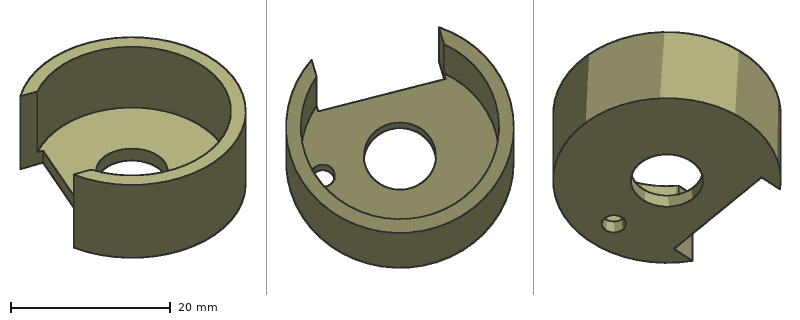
import cadquery as cq

outer_diameter = 28.5
inner_diameter = 24.8
height = 12.0
floor_thickness = 2.0

center_hole_diameter = 9.0
side_hole_diameter = 3.0
side_hole_offset = 10.0

opening_width = 16.5
opening_distance = 8.5


def make_cup():
    """Round cup with an open top, standing on Z = 0."""
    body = cq.Workplane("XY").circle(outer_diameter / 2).extrude(height)
    cavity = (
        cq.Workplane("XY")
        .workplane(offset=floor_thickness)
        .circle(inner_diameter / 2)
        .extrude(height - floor_thickness)
    )
    return body.cut(cavity)


def make_floor_hole(diameter, x):
    """Cylinder that cuts a hole through the floor."""
    return cq.Workplane("XY").center(x, 0).circle(diameter / 2).extrude(floor_thickness)


def make_opening():
    """Full-height block that cuts from the flat edge out past the wall."""
    return (
        cq.Workplane("XY")
        .box(opening_width, outer_diameter / 2, height, centered=(True, False, False))
        .translate((0, -opening_distance - outer_diameter / 2, 0))
    )


result = (
    make_cup()
    .cut(make_floor_hole(center_hole_diameter, 0))
    .cut(make_floor_hole(side_hole_diameter, side_hole_offset))
    .cut(make_opening())
)